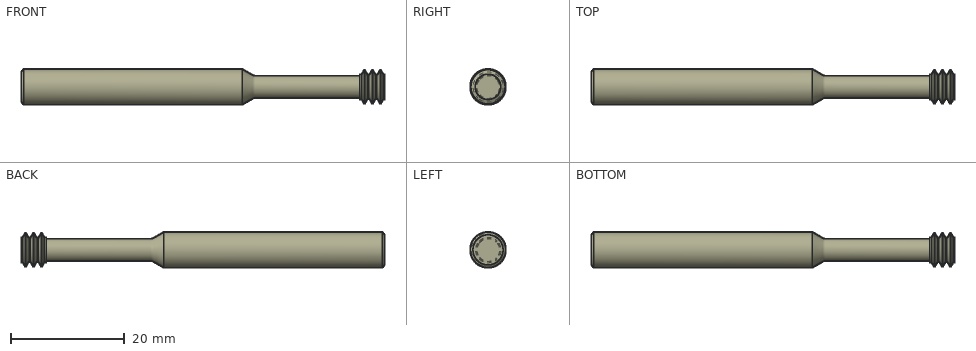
import cadquery as cq
import math

length = 63.9
shank_radius = 3.165
shank_end = 38.9
end_chamfer_length = 0.45
end_chamfer_depth = 0.5

neck_radius = 2.0
shoulder_angle = math.radians(30)
shoulder_fillet = 0.75

head_length = 4.4
collar_radius = 2.25
root_radius = 2.05
crest_radius = 3.0
crest_width = 0.1
tooth_count = 3
tooth_pitch = 1.4
last_crest_setback = 0.75
flank_half_angle = math.radians(30)

cone_length = (shank_radius - neck_radius) / math.tan(shoulder_angle)
cone_neck_corner = shank_end + cone_length
fillet_tangent = shoulder_fillet * math.tan(shoulder_angle / 2)
fillet_end = cone_neck_corner + fillet_tangent
fillet_start = cone_neck_corner - fillet_tangent * math.cos(shoulder_angle)
fillet_start_radius = neck_radius + fillet_tangent * math.sin(shoulder_angle)
fillet_mid = fillet_end - shoulder_fillet * math.sin(shoulder_angle / 2)
fillet_mid_radius = neck_radius + shoulder_fillet * (1 - math.cos(shoulder_angle / 2))

head_start = length - head_length
first_crest = length - last_crest_setback - (tooth_count - 1) * tooth_pitch
crest_half_width = crest_width / 2


def tooth_half_width(radius):
    """Half the axial width of a tooth at the given radius."""
    return crest_half_width + (crest_radius - radius) * math.tan(flank_half_angle)


def tooth_points(center, left_radius, right_radius):
    """Profile of one tooth whose flanks end at the given radii."""
    return [
        (center - tooth_half_width(left_radius), left_radius),
        (center - crest_half_width, crest_radius),
        (center + crest_half_width, crest_radius),
        (center + tooth_half_width(right_radius), right_radius),
    ]


profile = (
    cq.Workplane("XY")
    .lineTo(0, shank_radius - end_chamfer_depth)
    .lineTo(end_chamfer_length, shank_radius)
    .lineTo(shank_end, shank_radius)
    .lineTo(fillet_start, fillet_start_radius)
    .threePointArc((fillet_mid, fillet_mid_radius), (fillet_end, neck_radius))
    .lineTo(head_start, neck_radius)
    .lineTo(head_start, collar_radius)
)
for index in range(tooth_count):
    left_radius = collar_radius if index == 0 else root_radius
    right_radius = collar_radius if index == tooth_count - 1 else root_radius
    center = first_crest + index * tooth_pitch
    for x, radius in tooth_points(center, left_radius, right_radius):
        profile = profile.lineTo(x, radius)
profile = profile.lineTo(length, collar_radius).lineTo(length, 0).close()

result = profile.revolve(360, (0, 0, 0), (1, 0, 0))